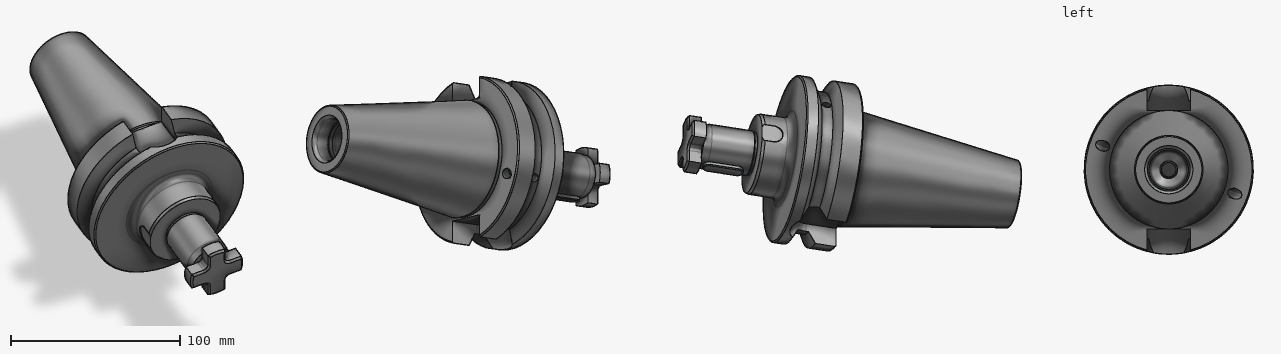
import cadquery as cq
import math


gauge_diameter = 70.0
gauge_radius = gauge_diameter / 2
taper_length = 101.8
taper_half_slope = 7 / 48
small_end_radius = gauge_radius - taper_length * taper_half_slope
small_end_chamfer = 0.6
relief_depth = 0.6
relief_chamfer_length = 0.8
relief_radius = gauge_radius - relief_depth
relief_start = taper_length + relief_chamfer_length

flange_radius = 50.0
flange_start = 104.8
flange_end = 139.8
flange_chamfer = 0.8
groove_radius = 42.5
groove_start = 117.5
groove_end = 132.5
groove_side_angle = 30
groove_side = (flange_radius - groove_radius) * math.tan(math.radians(groove_side_angle))
groove_middle = (groove_start + groove_end) / 2

hub_diameter = 48.0
hub_radius = hub_diameter / 2
hub_end = 159.8
hub_root_fillet = 4.8
hub_end_chamfer = 0.6
hub_end_chamfer_length = 1.8

pilot_radius = 13.5
pilot_end = 192.4
neck_radius = 12.9
neck_end = 161.2
neck_chamfer = pilot_radius - neck_radius
lead_in_start = 187.7
lead_in_radius = 12.9

bore_radius = 12.7
bore_mouth_radius = 14.3
bore_mouth_rounding = 3.0
bore_mouth_depth = math.sqrt(
    bore_mouth_rounding**2 - (bore_mouth_rounding - bore_mouth_radius + bore_radius) ** 2
)
bore_depth = 10.6
recess_radius = 11.6
recess_end = 13.3
cone_radius = 10.6
cone_start = recess_end + recess_radius - cone_radius
screw_hole_radius = 5.2
drill_half_angle = 59
drill_point_length = (cone_radius - screw_hole_radius) / math.tan(math.radians(drill_half_angle))

flange_slot_width = 25.7
flange_slot_floor = 35.1
flange_slot_end = 136.1
hub_slot_width = 11.5
hub_slot_floor = 23.0
hub_slot_start = 147.2

coolant_angle = 20
coolant_hole_diameter = 6.0
coolant_mouth_radius = 41.5
radial_hole_diameter = 5.0
coolant_run = groove_middle - flange_start
meeting_radius = coolant_mouth_radius - coolant_run

key_start = 165.3
key_length = 24.5
key_width = 7.0
key_height = 7.0
key_bottom = -15.5
key_chamfer = 0.6

screw_end = 200.8
screw_head_radius = 17.5
screw_head_chamfer = 1.2
lobe_width = 11.5
lobe_root_fillet = 3.0
screw_tip = 140.5
screw_tip_chamfer = 1.0

full_turn = 360
half_turn = full_turn / 2
quarter_turn = full_turn / 4


def turned(profile):
    """Revolve a closed XZ profile around the X axis."""
    return profile.close().revolve(full_turn, (0, 0, 0), (1, 0, 0))


def arbor_blank():
    """Taper shank, flange, hub and pilot as one turned shape."""
    fillet_middle = hub_root_fillet * (1 - math.sqrt(0.5))
    profile = (
        cq.Workplane("XZ")
        .moveTo(0, 0)
        .lineTo(0, small_end_radius - small_end_chamfer)
        .lineTo(small_end_chamfer, small_end_radius + small_end_chamfer * taper_half_slope)
        .lineTo(taper_length, gauge_radius)
        .lineTo(relief_start, relief_radius)
        .lineTo(flange_start, relief_radius)
        .lineTo(flange_start, flange_radius - flange_chamfer)
        .lineTo(flange_start + flange_chamfer, flange_radius)
        .lineTo(groove_start, flange_radius)
        .lineTo(groove_start + groove_side, groove_radius)
        .lineTo(groove_end - groove_side, groove_radius)
        .lineTo(groove_end, flange_radius)
        .lineTo(flange_end - flange_chamfer, flange_radius)
        .lineTo(flange_end, flange_radius - flange_chamfer)
        .lineTo(flange_end, hub_radius + hub_root_fillet)
        .threePointArc(
            (flange_end + fillet_middle, hub_radius + fillet_middle),
            (flange_end + hub_root_fillet, hub_radius),
        )
        .lineTo(hub_end - hub_end_chamfer_length, hub_radius)
        .lineTo(hub_end, hub_radius - hub_end_chamfer)
        .lineTo(hub_end, neck_radius)
        .lineTo(neck_end, neck_radius)
        .lineTo(neck_end + neck_chamfer, pilot_radius)
        .lineTo(lead_in_start, pilot_radius)
        .lineTo(pilot_end, lead_in_radius)
        .lineTo(pilot_end, 0)
    )
    return turned(profile)


def bore():
    """Stepped hole with a rounded mouth and a drill point, running on as the screw hole."""
    profile = (
        cq.Workplane("XZ")
        .moveTo(0, 0)
        .lineTo(0, bore_mouth_radius)
        .radiusArc((bore_mouth_depth, bore_radius), -bore_mouth_rounding)
        .lineTo(bore_depth, bore_radius)
        .lineTo(bore_depth, recess_radius)
        .lineTo(recess_end, recess_radius)
        .lineTo(cone_start, cone_radius)
        .lineTo(cone_start + drill_point_length, screw_hole_radius)
        .lineTo(pilot_end, screw_hole_radius)
        .lineTo(pilot_end, 0)
    )
    return turned(profile)


def drive_slot(width, floor, top, arc_centre, open_end):
    """Cutter above the axis for a slot with one round end and one open end."""
    base = cq.Workplane("XY", origin=(0, 0, floor))
    straight = (
        base.center((arc_centre + open_end) / 2, 0)
        .rect(abs(arc_centre - open_end), width)
        .extrude(top - floor)
    )
    round_end = base.center(arc_centre, 0).circle(width / 2).extrude(top - floor)
    return straight.union(round_end)


def flange_slot():
    """Slot in the top of the flange, open towards the taper."""
    arc_centre = flange_slot_end - flange_slot_width / 2
    return drive_slot(flange_slot_width, flange_slot_floor, flange_radius, arc_centre, taper_length)


def hub_slot():
    """Shallow slot in the -Y side of the hub, open at the front face of the hub."""
    arc_centre = hub_slot_start + hub_slot_width / 2
    slot = drive_slot(hub_slot_width, hub_slot_floor, hub_radius, arc_centre, hub_end)
    return slot.rotate((0, 0, 0), (1, 0, 0), quarter_turn)


def coolant_passage():
    """Hole sloping inwards at 45 degrees from the flange face, met by a radial hole."""
    inward = cq.Vector(1, -1, 0)
    lead = coolant_hole_diameter
    sloping = cq.Solid.makeCylinder(
        coolant_hole_diameter / 2,
        (coolant_run + lead) * math.sqrt(2),
        cq.Vector(flange_start - lead, coolant_mouth_radius + lead, 0),
        inward,
    )
    radial = cq.Solid.makeCylinder(
        radial_hole_diameter / 2,
        groove_radius - meeting_radius,
        cq.Vector(groove_middle, meeting_radius, 0),
        cq.Vector(0, 1, 0),
    )
    passage = cq.Workplane(sloping).union(cq.Workplane(radial))
    return passage.rotate((0, 0, 0), (1, 0, 0), coolant_angle)


def key_bar():
    """Round-ended bar under the pilot: the key before chamfering, and also the shape of its seat."""
    return (
        cq.Workplane("XY", origin=(key_start + key_length / 2, 0, key_bottom))
        .slot2D(key_length, key_width)
        .extrude(key_height)
    )


def make_key():
    """Feather key with a chamfered lower edge."""
    return key_bar().faces("<Z").chamfer(key_chamfer)


def make_arbor():
    """Turned body with its bore, key seat and opposite pairs of slots and coolant passages."""
    arbor = arbor_blank().cut(bore()).cut(key_bar())
    for feature in (flange_slot(), hub_slot(), coolant_passage()):
        opposite = feature.rotate((0, 0, 0), (1, 0, 0), half_turn)
        arbor = arbor.cut(feature).cut(opposite)
    return arbor


def make_screw():
    """Retaining screw with a four-lobed head and a plain shank."""
    head_length = screw_end - pilot_end
    bar_length = 2 * screw_head_radius
    plane = cq.Workplane("YZ", origin=(pilot_end, 0, 0))
    disc = plane.circle(screw_head_radius).extrude(head_length)
    cross = (
        plane.rect(bar_length, lobe_width)
        .extrude(head_length)
        .union(plane.rect(lobe_width, bar_length).extrude(head_length))
    )
    corner = lobe_width / 2 + lobe_root_fillet / 2
    root_edges = cq.selectors.BoxSelector(
        (pilot_end, -corner, -corner), (screw_end, corner, corner)
    )
    cross = cross.edges("|X").edges(root_edges).fillet(lobe_root_fillet)
    shank = (
        cq.Workplane("YZ", origin=(screw_tip, 0, 0))
        .circle(screw_hole_radius)
        .extrude(pilot_end - screw_tip)
        .faces("<X")
        .chamfer(screw_tip_chamfer)
    )
    head = disc.intersect(cross).faces(">X").chamfer(screw_head_chamfer)
    return head.union(shank)


arbor = make_arbor()
key = make_key()
screw = make_screw()

result = cq.Compound.makeCompound([arbor.val(), key.val(), screw.val()])